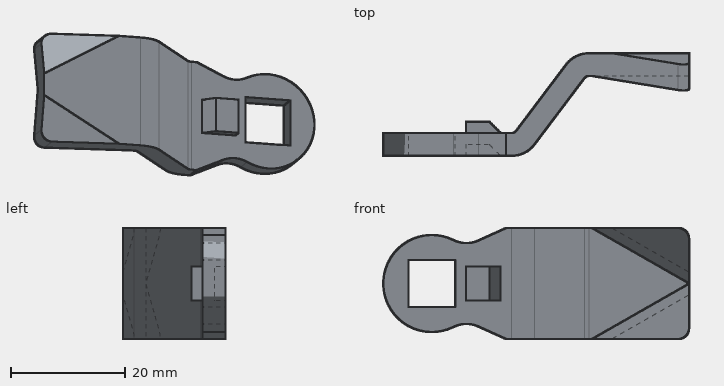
import cadquery as cq
import math

length = 53.5
depth = 18.0
width = 19.5
thickness = 4.0
half_width = width / 2
outer_bend = 5.0
inner_bend = outer_bend - thickness
bend_angle = math.radians(53)
first_bend_x = 22.45

head_radius = 8.5
neck_radius = 5.05
neck_x = 14.55
shoulder_x = 21.5
square_hole = 8.15

tab_start = 14.45
tab_flat_end = 18.55
tab_end = 20.55
tab_width = 6.0
tab_height = 2.0

corner_radius = 2.0
front_fold_x = 36.45
back_fold_x = 39.85
fold_slope = 0.163


def along(start, distance, angle):
    """Point at a distance from start in the given direction."""
    return (start[0] + distance * math.cos(angle), start[1] + distance * math.sin(angle))


def make_folded_strip():
    lower = (first_bend_x, outer_bend)
    upper_y = depth - outer_bend
    centre_gap = outer_bend + inner_bend
    rise = upper_y - lower[1]
    run = (rise * math.cos(bend_angle) + centre_gap) / math.sin(bend_angle)
    upper = (lower[0] + run, upper_y)
    down = -math.pi / 2
    up = math.pi / 2
    lower_end = down + bend_angle
    upper_start = up + bend_angle
    return (
        cq.Workplane("XY")
        .workplane(offset=-half_width)
        .moveTo(0, 0)
        .lineTo(*along(lower, outer_bend, down))
        .threePointArc(along(lower, outer_bend, down + bend_angle / 2), along(lower, outer_bend, lower_end))
        .lineTo(*along(upper, inner_bend, upper_start))
        .threePointArc(along(upper, inner_bend, up + bend_angle / 2), along(upper, inner_bend, up))
        .lineTo(length, depth - thickness)
        .lineTo(length, depth)
        .lineTo(*along(upper, outer_bend, up))
        .threePointArc(along(upper, outer_bend, up + bend_angle / 2), along(upper, outer_bend, upper_start))
        .lineTo(*along(lower, inner_bend, lower_end))
        .threePointArc(along(lower, inner_bend, down + bend_angle / 2), along(lower, inner_bend, down))
        .lineTo(0, thickness)
        .close()
        .extrude(width)
    )


def make_outline():
    head = (head_radius, 0)
    centre_distance = head_radius + neck_radius
    head_angle = math.acos((neck_x - head_radius) / centre_distance)
    neck = along(head, centre_distance, head_angle)
    head_tangent = along(head, head_radius, head_angle)

    shoulder_dx = shoulder_x - neck[0]
    shoulder_dz = half_width - neck[1]
    shoulder_distance = math.hypot(shoulder_dx, shoulder_dz)
    tangent_angle = math.atan2(shoulder_dz, shoulder_dx) - math.acos(neck_radius / shoulder_distance)
    neck_end = along(neck, neck_radius, tangent_angle)
    neck_bottom = (neck[0], neck[1] - neck_radius)

    def mirrored(point):
        return (point[0], -point[1])

    outline = (
        cq.Workplane("XZ")
        .moveTo(*mirrored(head_tangent))
        .threePointArc((0, 0), head_tangent)
        .threePointArc(neck_bottom, neck_end)
        .lineTo(shoulder_x, half_width)
        .lineTo(length, half_width)
        .lineTo(length, -half_width)
        .lineTo(shoulder_x, -half_width)
        .lineTo(*mirrored(neck_end))
        .threePointArc(mirrored(neck_bottom), mirrored(head_tangent))
        .close()
        .extrude(-depth)
    )
    return outline.edges("|Y and >X").fillet(corner_radius)


def make_corner_wedge(fold_x, face_y, side):
    """Tetrahedron between a flat face and the folded corner on one side."""
    edge_length = length - fold_x
    fold_width = edge_length * half_width / (length - front_fold_x)
    corner_z = side * half_width
    points = [
        cq.Vector(fold_x, face_y, corner_z),
        cq.Vector(length, face_y, corner_z - side * fold_width),
        cq.Vector(length, face_y, corner_z),
        cq.Vector(length, face_y - fold_slope * edge_length, corner_z),
    ]
    faces = []
    for omitted in points:
        triangle = [point for point in points if point is not omitted]
        faces.append(cq.Face.makeFromWires(cq.Wire.makePolygon(triangle, close=True)))
    return cq.Workplane(cq.Solid.makeSolid(cq.Shell.makeShell(faces)).fix())


def make_tab(base_y):
    """Ramp tab standing on the plane at base_y, also used for its recess."""
    return (
        cq.Workplane("XY")
        .workplane(offset=-tab_width / 2)
        .moveTo(tab_start, base_y)
        .lineTo(tab_end, base_y)
        .lineTo(tab_flat_end, base_y + tab_height)
        .lineTo(tab_start, base_y + tab_height)
        .close()
        .extrude(tab_width)
    )


strip = make_folded_strip()
for side in (-1, 1):
    strip = strip.union(make_corner_wedge(front_fold_x, depth - thickness, side))
    strip = strip.cut(make_corner_wedge(back_fold_x, depth, side))
body = strip.intersect(make_outline())

hole = cq.Workplane("XZ").center(head_radius, 0).rect(square_hole, square_hole).extrude(-thickness)
result = body.cut(hole).union(make_tab(thickness)).cut(make_tab(0))